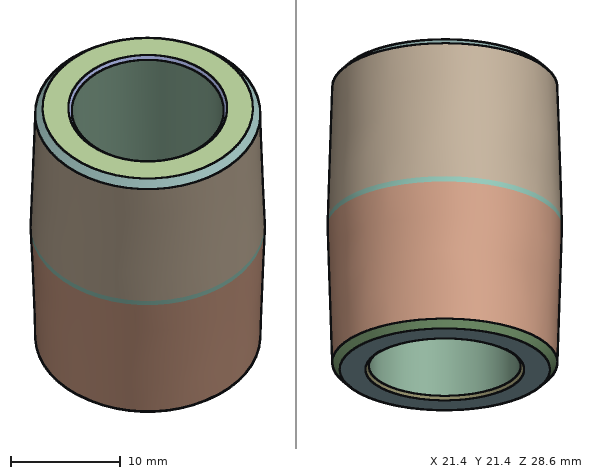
import cadquery as cq

length = 28.57
max_diameter = 21.35
end_diameter = 20.5
band_height = 0.5
end_chamfer = 0.69

bore_diameter = 13.83
bore_chamfer = 0.3

half_length = length / 2
half_band = band_height / 2
max_radius = max_diameter / 2
end_radius = end_diameter / 2
bore_radius = bore_diameter / 2

upper_section = [
    (max_radius, half_band),
    (end_radius, half_length - end_chamfer),
    (end_radius - end_chamfer, half_length),
    (bore_radius + bore_chamfer, half_length),
    (bore_radius, half_length - bore_chamfer),
]

lower_section = [(radius, -height) for radius, height in reversed(upper_section)]

result = (
    cq.Workplane("XZ")
    .polyline(upper_section + lower_section)
    .close()
    .revolve(360, (0, 0, 0), (0, 1, 0))
)